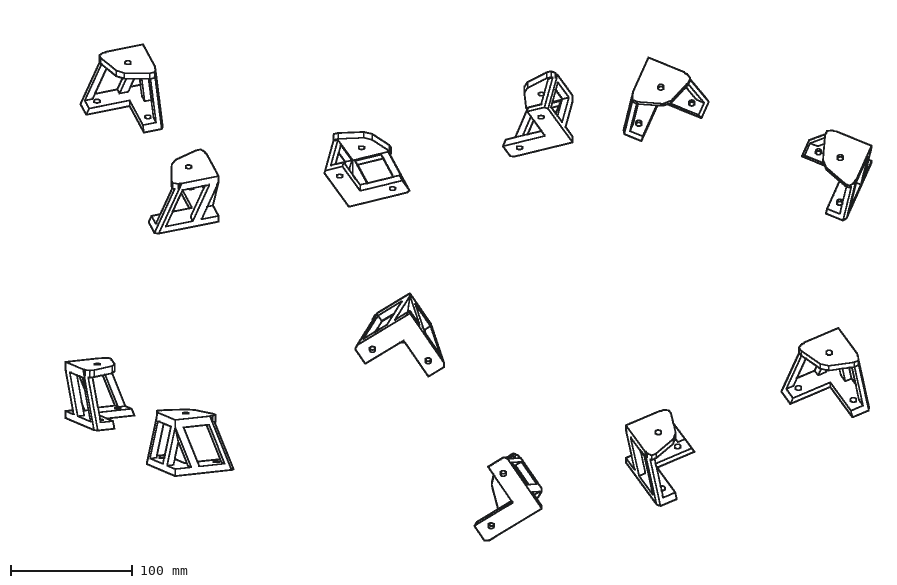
import cadquery as cq

span = 199.8
height = 47.4
rise = 9.5
setback = 0.4

arm_length = 55.0
arm_width = 17.4
base_thickness = 6.0

frame_thickness = 6.0
lean = 20.0
lean_ratio = lean / height
bevel_along = 3.0
bevel_across = 2.0
rail_depth = 7.2
end_leg_width = 6.8
strut_width = 7.5
strut_foot = 14.8

plate_thickness = 6.0
plate_inset = 0.5
plate_reach = 38.8
corner_start = 35.0
corner_inset = 2.8
tip_end = 6.8
nose_near = 26.8
nose_far = 32.0

hole_diameter = 5.0
base_hole_along = 43.2
base_hole_across = 10.0
plate_hole_offset = 19.5


def lean_shift(z):
    """Horizontal retreat of the leaning edges at height z."""
    return lean_ratio * z


def make_side(outline, thickness):
    """Extrude an outline in X and Z from the outside face (Y = 0) into +Y."""
    return cq.Workplane("XZ").polyline(outline).close().extrude(-thickness)


def make_base_arm():
    outline = [
        (0, 0),
        (arm_length, 0),
        (arm_length - lean_shift(base_thickness), base_thickness),
        (0, base_thickness),
    ]
    return make_side(outline, arm_width)


def make_frame():
    rail_bottom = height - rail_depth
    climb = lean_shift(rail_bottom - base_thickness)
    strut_inside = strut_foot + strut_width
    leg_inside = arm_length - lean_shift(base_thickness) - end_leg_width
    corner_z = base_thickness + strut_foot / lean_ratio

    frame = make_side([(0, 0), (arm_length, 0), (arm_length - lean, height), (0, height)], frame_thickness)
    window = make_side(
        [
            (strut_inside, base_thickness),
            (leg_inside, base_thickness),
            (leg_inside - climb, rail_bottom),
            (strut_inside - climb, rail_bottom),
        ],
        frame_thickness,
    )
    corner_opening = make_side(
        [(0, base_thickness), (strut_foot, base_thickness), (0, corner_z)], frame_thickness
    )
    return frame.cut(window).cut(corner_opening)


def make_end_bevel():
    """Leaning prism that removes the outside edge of an arm's end face."""
    bottom = [(arm_length - bevel_along, 0), (arm_length, 0), (arm_length, bevel_across)]
    top = [(x - lean, y) for x, y in bottom]
    return (
        cq.Workplane("XY").polyline(bottom).close()
        .workplane(offset=height).polyline(top).close()
        .loft(ruled=True)
    )


def make_plate():
    half_outline = [
        (corner_start, plate_inset),
        (plate_reach, corner_inset),
        (plate_reach, tip_end),
        (nose_far, nose_near),
    ]
    other_half = [(y, x) for x, y in reversed(half_outline)]
    outline = [(plate_inset, plate_inset)] + half_outline + other_half
    return (
        cq.Workplane("XY").workplane(offset=height - plate_thickness)
        .polyline(outline).close().extrude(plate_thickness)
    )


def make_base_holes():
    centers = [(base_hole_along, base_hole_across), (base_hole_across, base_hole_along)]
    return cq.Workplane("XY").pushPoints(centers).circle(hole_diameter / 2).extrude(base_thickness)


def make_plate_hole():
    return (
        cq.Workplane("XY").workplane(offset=height - plate_thickness)
        .center(plate_hole_offset, plate_hole_offset)
        .circle(hole_diameter / 2).extrude(plate_thickness)
    )


def make_stand():
    """Stand with its outside corner on the Z axis and arms along +X and +Y."""
    arm = make_base_arm().union(make_frame()).cut(make_end_bevel())
    other_arm = arm.mirror("XZ").rotate((0, 0, 0), (0, 0, 1), 90)
    body = arm.union(other_arm).union(make_plate())
    return body.cut(make_base_holes()).cut(make_plate_hole())


stand = make_stand()
left_stand = stand.mirror("XZ")
right_stand = left_stand.mirror("YZ").translate((span, -setback, rise))

result = cq.Compound.makeCompound([left_stand.val(), right_stand.val()])